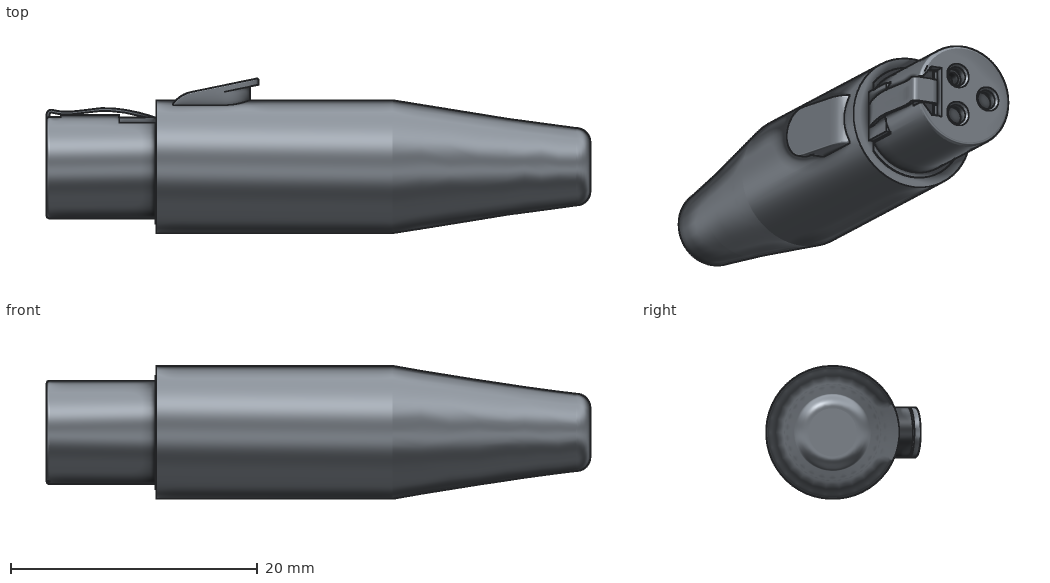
import cadquery as cq
import math


nose_radius = 4.2
nose_edge_fillet = 0.27
collar_radius = 4.6
collar_start = 8.8
body_radius = 5.4
body_start = 8.9
body_end = 28.05
taper_end = 37.35
taper_radius = 3.9
tail_end = 44.1
tail_round = 1.2
tail_radius = 3.15

pair_offset_y = 0.56
pair_offset_z = 1.6
single_offset_y = -2.17
socket_centres = [
    (pair_offset_y, pair_offset_z),
    (single_offset_y, 0),
    (pair_offset_y, -pair_offset_z),
]
socket_radius = 0.78
socket_mouth_radius = 1.0
socket_depth = 1.0
pilot_radius = 0.55
pilot_depth = 2.0

latch_half_width = 2.05
slot_half_width = 1.14
pocket_floor_y = 2.06
pocket_shoulder_y = 2.95
pocket_neck_y = 3.75
pocket_depth = 1.15
rear_seat_start = 5.9
rear_seat_y = 3.58

strip_thickness = 0.25
arm_half_width = 1.0
lip_half_width = 1.85
lip_radius = 0.65
lip_y = 2.2
bend_radius = 0.42
bend_top_y = 4.63
dip = (1.9, 4.48)
crest = (4.4, 4.76)
descent = (6.6, 4.58)
arm_root = (9.0, 3.93)
wing_thickness = 0.42

button_start = 10.2
button_shoulder = (11.65, 6.05)
button_mid_nose = (10.8, 5.65)
button_tip_x = 17.2
button_top_y = 7.19
lever_thickness = 0.55
stem_end_x = 16.5
button_root_y = 4.0
button_start_y = math.sqrt(body_radius**2 - latch_half_width**2)
button_edge_fillet = 0.15


def make_body():
    """Nose, collar, barrel, taper and rounded tail as one revolved solid."""
    round_diagonal = tail_round * math.sqrt(0.5)
    tail_round_start = tail_end - tail_round
    tail_flat_radius = tail_radius - tail_round
    profile = (
        cq.Workplane("XY")
        .polyline([
            (0, 0),
            (0, nose_radius),
            (collar_start, nose_radius),
            (collar_start, collar_radius),
            (body_start, collar_radius),
            (body_start, body_radius),
            (body_end, body_radius),
            (taper_end, taper_radius),
            (tail_round_start, tail_radius),
        ])
        .threePointArc(
            (tail_round_start + round_diagonal, tail_flat_radius + round_diagonal),
            (tail_end, tail_flat_radius),
        )
        .lineTo(tail_end, 0)
        .close()
    )
    body = profile.revolve(360, (0, 0, 0), (1, 0, 0))
    return body.faces("<X").edges().fillet(nose_edge_fillet)


def make_sockets():
    """Three blind contact holes with chamfered mouths; the first has a narrower pilot bore."""
    mouth_depth = socket_mouth_radius - socket_radius
    socket = (
        cq.Workplane("XY")
        .polyline([
            (0, 0),
            (0, socket_mouth_radius),
            (mouth_depth, socket_radius),
            (socket_depth, socket_radius),
            (socket_depth, 0),
        ])
        .close()
        .revolve(360, (0, 0, 0), (1, 0, 0))
    )
    sockets = cq.Workplane("XY")
    for y, z in socket_centres:
        sockets = sockets.add(socket.translate((0, y, z)))
    pilot_y, pilot_z = socket_centres[0]
    pilot = (
        cq.Workplane("YZ")
        .center(pilot_y, pilot_z)
        .circle(pilot_radius)
        .extrude(pilot_depth)
    )
    return sockets.combine().union(pilot)


def make_latch_pocket():
    """Necked pocket in the mating face, and a flat wing seat cut on through the collar."""
    outer_y = body_radius
    pocket = (
        cq.Workplane("YZ")
        .polyline([
            (pocket_floor_y, -latch_half_width),
            (pocket_shoulder_y, -latch_half_width),
            (pocket_neck_y, -slot_half_width),
            (outer_y, -slot_half_width),
            (outer_y, slot_half_width),
            (pocket_neck_y, slot_half_width),
            (pocket_shoulder_y, latch_half_width),
            (pocket_floor_y, latch_half_width),
        ])
        .close()
        .extrude(pocket_depth)
    )
    seat = cq.Workplane("XY").box(
        body_start - rear_seat_start,
        outer_y - rear_seat_y,
        2 * collar_radius,
        centered=(False, False, True),
    ).translate((rear_seat_start, rear_seat_y, 0))
    return pocket.union(seat)


def make_spring():
    """Bent strip: inward lip, front upright, arched arm and rear wings."""
    t = strip_thickness
    half_diagonal = math.sqrt(0.5)
    lip_centre = (lip_radius, lip_y + lip_radius)
    bend_centre = (bend_radius, bend_top_y - bend_radius)

    def on_lip(radius):
        return (lip_centre[0] - radius * half_diagonal, lip_centre[1] - radius * half_diagonal)

    def on_bend(radius):
        return (bend_centre[0] - radius * half_diagonal, bend_centre[1] + radius * half_diagonal)

    def lowered(point):
        return (point[0], point[1] - t)

    bend_top = (bend_radius, bend_top_y)
    arm = (
        cq.Workplane("XY")
        .moveTo(lip_radius, lip_y)
        .threePointArc(on_lip(lip_radius), (0, lip_centre[1]))
        .lineTo(0, bend_centre[1])
        .threePointArc(on_bend(bend_radius), bend_top)
        .spline([dip, crest, descent, arm_root], includeCurrent=True)
        .lineTo(*lowered(arm_root))
        .spline([lowered(descent), lowered(crest), lowered(dip), lowered(bend_top)], includeCurrent=True)
        .threePointArc(on_bend(bend_radius - t), (t, bend_centre[1]))
        .lineTo(t, lip_centre[1])
        .threePointArc(on_lip(lip_radius - t), (lip_radius, lip_y + t))
        .close()
        .extrude(arm_half_width, both=True)
    )
    lip_tab = cq.Workplane("XY").box(
        t, t, 2 * lip_half_width, centered=(False, False, True)
    ).translate((lip_radius - t / 2, lip_y, 0))
    wings = cq.Workplane("XY").box(
        body_start - rear_seat_start,
        wing_thickness,
        2 * latch_half_width,
        centered=(False, False, True),
    ).translate((rear_seat_start, rear_seat_y, 0))
    return arm.union(lip_tab).union(wings)


def extrude_rounded_plan(end_x):
    """Tall block over the button's plan, with a full round end at end_x."""
    arc_centre_x = end_x - latch_half_width
    return (
        cq.Workplane("XZ")
        .moveTo(button_start, -latch_half_width)
        .lineTo(arc_centre_x, -latch_half_width)
        .threePointArc((end_x, 0), (arc_centre_x, latch_half_width))
        .lineTo(button_start, latch_half_width)
        .close()
        .extrude(-2 * body_radius)
    )


def make_button():
    """Sloping lever with a softened top rim, over a shorter stem; both have round ends."""
    shoulder_x, shoulder_y = button_shoulder
    lever_side = (
        cq.Workplane("XY")
        .moveTo(button_start, button_root_y)
        .lineTo(button_start, button_start_y)
        .threePointArc(button_mid_nose, button_shoulder)
        .lineTo(button_tip_x, button_top_y)
        .lineTo(button_tip_x, button_top_y - lever_thickness)
        .lineTo(shoulder_x, shoulder_y - lever_thickness)
        .lineTo(shoulder_x, button_root_y)
        .close()
        .extrude(latch_half_width, both=True)
    )
    lever = lever_side.intersect(extrude_rounded_plan(button_tip_x))
    lever_top = cq.selectors.NearestToPointSelector(
        ((shoulder_x + button_tip_x) / 2, (shoulder_y + button_top_y) / 2, 0)
    )
    lever = lever.faces(lever_top).edges("not |Z").fillet(button_edge_fillet)

    stem_side = (
        cq.Workplane("XY")
        .polyline([
            (shoulder_x, button_root_y),
            (button_tip_x, button_root_y),
            (button_tip_x, button_top_y - lever_thickness),
            (shoulder_x, shoulder_y - lever_thickness),
        ])
        .close()
        .extrude(latch_half_width, both=True)
    )
    stem = stem_side.intersect(extrude_rounded_plan(stem_end_x))
    return lever.union(stem)


result = (
    make_body()
    .cut(make_sockets())
    .cut(make_latch_pocket())
    .union(make_spring())
    .union(make_button())
)